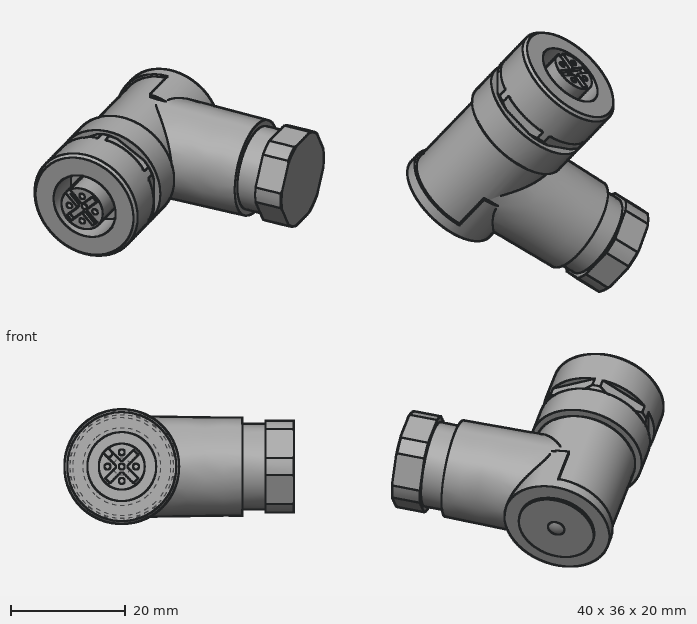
import cadquery as cq
import math


body_radius = 9.0
body_front = -9.5
collar_radius = 8.52
ring_radius = 10.0
ring_back = -10.0
ring_front = -15.5
stem_radius = 6.0

cap_radius = 9.5
cap_front = 7.05
cap_back = 9.15
lid_radius = 6.75
lid_back = 9.65
dome_radius = 1.5
dome_top = 10.0
skirt_start_x = 0.35

nut_radius = ring_radius
nut_back = -16.0
hex_front = -18.2
nut_front = -25.05
nut_hex_width = 2 * body_radius
nut_chamfer_radial = 0.52
nut_chamfer_axial = 0.6
nut_bore_radius = 6.0
bore_floor = hex_front

insert_radius = 4.0
insert_front = -26.0
contact_hole_radius = 0.52
contact_pitch_radius = 2.5
contact_hole_depth = 2.0
groove_width = 1.2
groove_length = 6.95
groove_depth = 0.9
groove_centre_radius = 1.0
keyway_radius = groove_width / 2
keyway_centre = 3.2
keyway_length = 6.0

arm_root_radius = 8.9
arm_end_radius = 8.55
arm_end = 21.0
neck_radius = 7.5
gland_start = 24.97
gland_end = 30.0
gland_hex_width = 16.0
gland_radius = 8.52
gland_chamfer = 0.15

HEX_CORNER_RATIO = 2 / math.sqrt(3)


def cylinder_y(radius, y_from, y_to):
    """Cylinder on the Y axis; y_from is the +Y end."""
    return cq.Workplane("XZ", origin=(0, y_from, 0)).circle(radius).extrude(y_from - y_to)


def cylinder_x(radius, x_from, x_to):
    """Cylinder on the X axis."""
    return cq.Workplane("YZ", origin=(x_from, 0, 0)).circle(radius).extrude(x_to - x_from)


def make_housing():
    body = cylinder_y(body_radius, cap_front, body_front)
    collar = cylinder_y(collar_radius, body_front, ring_back)
    ring = cylinder_y(ring_radius, ring_back, ring_front)
    stem = cylinder_y(stem_radius, ring_front, nut_back)
    return body.union(collar).union(ring).union(stem)


def make_cap():
    lid = cylinder_y(lid_radius, lid_back, cap_back)
    opening = (
        cq.Workplane("XY")
        .box(2 * cap_radius, cap_front, 2 * cap_radius, centered=(True, False, True))
        .translate((skirt_start_x - cap_radius, 0, 0))
    )
    cap = cylinder_y(cap_radius, cap_back, 0).cut(opening)
    return cap.union(lid).union(make_dome())


def make_dome():
    """Shallow spherical button in the middle of the lid."""
    height = dome_top - lid_back
    sphere_radius = (dome_radius**2 + height**2) / (2 * height)
    sphere = cq.Workplane("XY").sphere(sphere_radius).translate((0, dome_top - sphere_radius, 0))
    return sphere.intersect(cylinder_y(dome_radius, dome_top, cap_back))


def make_coupling_nut():
    inner_radius = nut_radius - nut_chamfer_radial
    blank = (
        cq.Workplane("XY")
        .moveTo(0, nut_back)
        .lineTo(inner_radius, nut_back)
        .lineTo(nut_radius, nut_back - nut_chamfer_axial)
        .lineTo(nut_radius, nut_front + nut_chamfer_axial)
        .lineTo(inner_radius, nut_front)
        .lineTo(0, nut_front)
        .close()
        .revolve(360, (0, 0, 0), (0, 1, 0))
    )
    flats = (
        cq.Workplane("XZ", origin=(0, nut_back, 0))
        .transformed(rotate=(0, 0, 30))
        .polygon(6, nut_hex_width * HEX_CORNER_RATIO)
        .extrude(nut_back - hex_front)
    )
    hex_part = blank.intersect(flats)
    round_part = blank.intersect(cylinder_y(nut_radius, hex_front, nut_front))
    bore = cylinder_y(nut_bore_radius, bore_floor, nut_front)
    return hex_part.union(round_part).cut(bore)


def insert_face():
    return cq.Workplane("XZ", origin=(0, insert_front, 0))


def make_insert():
    insert = cylinder_y(insert_radius, bore_floor, insert_front)

    grooves = insert_face().circle(groove_centre_radius).extrude(-groove_depth)
    for angle in (45, 135):
        bar = (
            insert_face()
            .transformed(rotate=(0, 0, angle))
            .rect(groove_length, groove_width)
            .extrude(-groove_depth)
        )
        grooves = grooves.union(bar)

    keyway_sketch = insert_face().transformed(rotate=(0, 0, 135)).center(keyway_centre, 0)
    keyway_bottom = keyway_sketch.circle(keyway_radius).extrude(-keyway_length)
    keyway_mouth = (
        keyway_sketch.center(insert_radius / 2, 0)
        .rect(insert_radius, 2 * keyway_radius)
        .extrude(-keyway_length)
    )

    outer_holes = (
        insert_face()
        .polarArray(contact_pitch_radius, 0, 360, 4)
        .circle(contact_hole_radius)
        .extrude(-contact_hole_depth)
    )
    centre_hole = insert_face().circle(contact_hole_radius).extrude(-contact_hole_depth)

    for pocket in (grooves, keyway_bottom, keyway_mouth, outer_holes, centre_hole):
        insert = insert.cut(pocket)
    return insert


def make_arm():
    arm = (
        cq.Workplane("XY")
        .polyline([(0, 0), (0, arm_root_radius), (arm_end, arm_end_radius), (arm_end, 0)])
        .close()
        .revolve(360, (0, 0, 0), (1, 0, 0))
    )
    neck = cylinder_x(neck_radius, arm_end, gland_start)
    return arm.union(neck).union(make_gland_nut())


def make_gland_nut():
    """Hexagon with flats facing +Z and -Z and rounded corners."""
    hexagon = (
        cq.Workplane("YZ", origin=(gland_start, 0, 0))
        .polygon(6, gland_hex_width * HEX_CORNER_RATIO)
        .extrude(gland_end - gland_start)
    )
    rounding = cylinder_x(gland_radius, gland_start, gland_end).faces(">X").chamfer(gland_chamfer)
    return hexagon.intersect(rounding)


result = (
    make_housing()
    .union(make_cap())
    .union(make_arm())
    .union(make_coupling_nut())
    .union(make_insert())
)